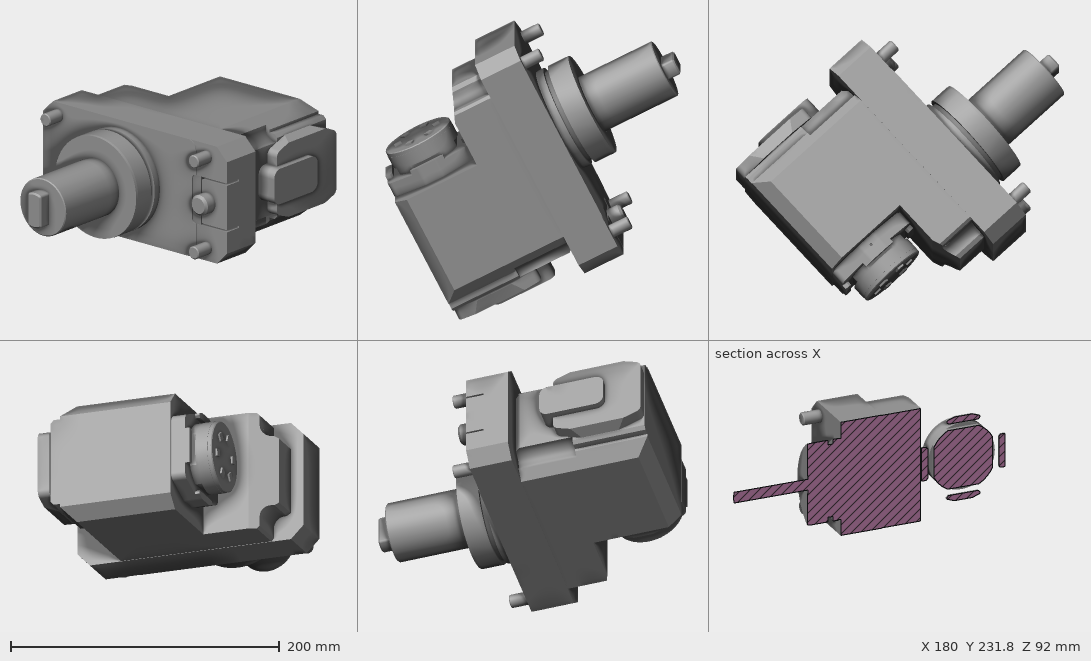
import cadquery as cq
import math


LENGTH = 231.8
HEIGHT = 92.0
PLATE_WIDTH = 180.0
PAD_WIDTH = 150.0
PLATE_LEFT = -PAD_WIDTH / 2
PLATE_RIGHT = PLATE_LEFT + PLATE_WIDTH
PLATE_BACK = 33.0
CORNER = 10.0
FACE_STEP = 0.5
PAD_CORNER_RADIUS = 7.6

BOLT_DIAMETER = 10.0
BOLT_XS = (-60.0, 85.3)
BOLT_Z = 36.0
BOLT_LENGTH = 14.8
BOLT_CHAMFER = 0.7
BOLT_CLEARANCE_RADIUS = 8.5

COLLAR_DIAMETER = 80.0
COLLAR_END_DIAMETER = 79.5
COLLAR_LENGTH = 27.1
COLLAR_TAPER_LENGTH = 2.0
COLLAR_ROOT_LENGTH = 1.5
GROOVE_DIAMETER = 73.7
GROOVE_START = 6.3
GROOVE_END = 10.2
SHAFT_DIAMETER = 45.0
SHAFT_END = 87.6
SHAFT_CHAMFER = 0.7
RELIEF_DIAMETER = 46.4
RELIEF_DEPTH = 0.5
TANG_END = 97.8
TANG_WIDTH = 12.7
TANG_HEIGHT = 27.5
TANG_CORNER_RADIUS = 2.0
TANG_CHAMFER = 1.2

POCKET_LEFT = 71.5
POCKET_HEIGHT = 38.2
POCKET_RADIUS = 3.0
POCKET_DEPTH = 1.0
INSERT_SEAT_LEFT = 79.0
INSERT_SEAT_DEPTH = 14.0
INSERT_LEFT = 80.5
INSERT_HEIGHT = 35.0
INSERT_RADIUS = 1.5
NOZZLE_X = 85.8
NOZZLE_DIAMETER = 16.0
NOZZLE_LENGTH = 10.0
NOZZLE_CHAMFER = 1.9

HOUSING_DROP = 0.2
HOUSING_HALF = HEIGHT / 2 - HOUSING_DROP
BACK = LENGTH - TANG_END
HEAD_LEFT = -7.6
HEAD_RIGHT = 87.9
HEAD_EDGE_CHAMFER = 10.0
LEDGE_LEFT = 80.5
LEDGE_DROP = 2.3
LEDGE_EDGE_CHAMFER = 2.5
HEAD_FOOT_CHAMFER = 3.7
BOLT_CUT_END = 78.0
SHOULDER_LEFT = -65.0
SHOULDER_BACK = 65.4
SHOULDER_TOP_LEFT = -49.4
SHOULDER_CHAMFER = 2.0
SHOULDER_NOSE = 3.2
SHOULDER_SLOPE_START = -43.8
SHOULDER_SLOPE_END_BACK = 57.3
SPOT_DIAMETER = 6.3
SPOT_Y = 58.0
SPOT_Z = 36.5

FLANGE_HALF = 34.0
SPINDLE_Y = BACK - FLANGE_HALF
FLANGE_FLAT = 14.5
FLANGE_SLOPE = 20
FLANGE_RADIUS = 5.3
FLANGE_CREST_RADIUS = 6.0
FLANGE_GAP = 1.0
FLANGE_GAP_INSET = 1.2
LEFT_FLANGE_X = -19.5
RIGHT_FLANGE_X = 98.0
RIGHT_FLANGE_ROOT_Z = 31.5
RIGHT_FLANGE_RIM_Z = 29.2

TAB_X = -23.0
TAB_LENGTH = 27.4
TAB_DEPTH = 5.3
TAB_TAPER = 1.6

OIL_HOLE_DIAMETER = 2.1
OIL_HOLE_X = -13.7
OIL_HOLE_DEPTH = 2.3

NUT_FLATS = 47.8
NUT_DIAMETER = 54.0
NUT_BACK_X = -24.5
NUT_FACE_X = -37.8
NUT_LIP_DIAMETER = 53.5
NUT_LIP_LENGTH = 3.5
NUT_CHAMFER = 0.7
KEY_COUNT = 6
KEY_RADIUS = 16.0
KEY_SIZE = 5.5
KEY_HEIGHT = 1.5
KEY_START_ANGLE = 8

COVER_X = 103.2
COVER_FRONT = 56.8
COVER_BACK = 106.5
COVER_HEIGHT = 27.8
COVER_RADIUS = 6.7


def block(x0, x1, y0, y1, z0, z1):
    """Box between two opposite corners."""
    return cq.Workplane("XY").box(x1 - x0, y1 - y0, z1 - z0, centered=False).translate((x0, y0, z0))


def disc_y(diameter, y0, y1, x=0, z=0):
    """Cylinder along Y from y0 back to y1."""
    plane = cq.Plane(origin=(x, y0, z), xDir=(1, 0, 0), normal=(0, 1, 0))
    return cq.Workplane(plane).circle(diameter / 2).extrude(y1 - y0)


def disc_x(diameter, x0, x1):
    """Cylinder along X on the spindle axis."""
    return spindle_plane(x0).circle(diameter / 2).extrude(x1 - x0)


def spindle_plane(x):
    """Plane across the spindle axis: local x is +Y, local y is +Z, extruding toward +X."""
    return cq.Workplane(cq.Plane(origin=(x, SPINDLE_Y, 0), xDir=(0, 1, 0), normal=(1, 0, 0)))


def mounting_plate():
    """Plate with cut corners and a locating pad standing out of its front face."""
    half = HEIGHT / 2
    plate = block(PLATE_LEFT, PLATE_RIGHT, FACE_STEP, PLATE_BACK, -half, half)
    pad = block(PLATE_LEFT, -PLATE_LEFT, 0, PLATE_BACK, -half, half)
    pad = pad.edges("|Y and >X").fillet(PAD_CORNER_RADIUS)
    outline = block(PLATE_LEFT, PLATE_RIGHT, 0, PLATE_BACK, -half, half).edges("|Y").chamfer(CORNER)
    return plate.union(pad).intersect(outline)


def add_connector(body):
    """Pocket open to the right edge, holding an insert with a round nozzle."""
    pocket = block(POCKET_LEFT, PLATE_RIGHT, 0, POCKET_DEPTH, -POCKET_HEIGHT / 2, POCKET_HEIGHT / 2)
    pocket = pocket.edges("|Y and <X").fillet(POCKET_RADIUS)
    seat = block(
        INSERT_SEAT_LEFT, PLATE_RIGHT, 0, INSERT_SEAT_DEPTH, -POCKET_HEIGHT / 2, POCKET_HEIGHT / 2
    )
    insert = block(
        INSERT_LEFT, PLATE_RIGHT, FACE_STEP, INSERT_SEAT_DEPTH, -INSERT_HEIGHT / 2, INSERT_HEIGHT / 2
    )
    insert = insert.edges("|Y and <X").fillet(INSERT_RADIUS)
    nozzle = disc_y(NOZZLE_DIAMETER, -NOZZLE_LENGTH, INSERT_SEAT_DEPTH, NOZZLE_X)
    nozzle = nozzle.faces("<Y").chamfer(NOZZLE_CHAMFER)
    return body.cut(pocket).cut(seat).union(insert).union(nozzle)


def bolts():
    """Bolt ends standing out of the plate near its corners."""
    bolt_set = cq.Workplane("XY")
    for x in BOLT_XS:
        for z in (-BOLT_Z, BOLT_Z):
            bolt = disc_y(BOLT_DIAMETER, -BOLT_LENGTH, PLATE_BACK, x, z)
            bolt_set = bolt_set.union(bolt.faces("<Y").chamfer(BOLT_CHAMFER))
    return bolt_set


def shaft():
    """Collar with a ring groove, plain shaft and driving tang."""
    collar_r = COLLAR_DIAMETER / 2
    end_r = COLLAR_END_DIAMETER / 2
    groove_r = GROOVE_DIAMETER / 2
    shaft_r = SHAFT_DIAMETER / 2
    relief_r = RELIEF_DIAMETER / 2
    profile = [
        (0, 0),
        (end_r, 0),
        (end_r, -COLLAR_ROOT_LENGTH),
        (collar_r, -COLLAR_ROOT_LENGTH),
        (collar_r, -GROOVE_START),
        (groove_r, -GROOVE_START),
        (groove_r, -GROOVE_END),
        (collar_r, -GROOVE_END),
        (collar_r, -COLLAR_LENGTH + COLLAR_TAPER_LENGTH),
        (end_r, -COLLAR_LENGTH),
        (relief_r, -COLLAR_LENGTH),
        (relief_r, -COLLAR_LENGTH + RELIEF_DEPTH),
        (shaft_r, -COLLAR_LENGTH + RELIEF_DEPTH),
        (shaft_r, -SHAFT_END + SHAFT_CHAMFER),
        (shaft_r - SHAFT_CHAMFER, -SHAFT_END),
        (0, -SHAFT_END),
    ]
    turned = cq.Workplane("XY").polyline(profile).close().revolve(360, (0, 0, 0), (0, 1, 0))
    tang = block(
        -TANG_WIDTH / 2, TANG_WIDTH / 2, -TANG_END, -SHAFT_END, -TANG_HEIGHT / 2, TANG_HEIGHT / 2
    )
    tang = tang.intersect(disc_y(TANG_HEIGHT, -TANG_END, -SHAFT_END))
    tang = tang.edges("|Y").fillet(TANG_CORNER_RADIUS).faces("<Y").chamfer(TANG_CHAMFER)
    return turned.union(tang)


def head():
    """Tall part of the housing with chamfered back and stepped right edges."""
    half = HOUSING_HALF
    edge_z = half - HEAD_EDGE_CHAMFER
    ledge_z = edge_z - LEDGE_DROP
    ledge_x = HEAD_RIGHT - LEDGE_EDGE_CHAMFER
    right_side = [
        (HEAD_LEFT, half),
        (LEDGE_LEFT - HEAD_EDGE_CHAMFER, half),
        (LEDGE_LEFT, edge_z),
        (LEDGE_LEFT, ledge_z),
        (ledge_x, ledge_z),
        (HEAD_RIGHT, ledge_z - LEDGE_EDGE_CHAMFER),
    ]
    mirrored = [(x, -z) for x, z in reversed(right_side)]
    body = cq.Workplane("XZ").polyline(right_side + mirrored).close().extrude(-BACK)
    body = body.intersect(block(HEAD_LEFT, HEAD_RIGHT, PLATE_BACK, BACK, -half, half))
    body = body.edges("|Z and >X and <Y").chamfer(HEAD_FOOT_CHAMFER)
    side = block(HEAD_LEFT, HEAD_RIGHT, 0, BACK, -half, half)
    body = body.intersect(side.edges("|X and >Y").chamfer(HEAD_EDGE_CHAMFER))
    for z in (-BOLT_Z, BOLT_Z):
        body = body.cut(disc_y(2 * BOLT_CLEARANCE_RADIUS, PLATE_BACK, BOLT_CUT_END, BOLT_XS[1], z))
    return body


def shoulder():
    """Low part of the housing, scalloped round the left bolts and sloped at its back.

    A round spot face runs into the upper scallop.
    """
    half = HOUSING_HALF
    bolt_x = BOLT_XS[0]
    wall_x = bolt_x + BOLT_CLEARANCE_RADIUS
    nose_z = BOLT_Z - BOLT_CLEARANCE_RADIUS
    bend = BOLT_CLEARANCE_RADIUS * math.sqrt(0.5)
    outline = (
        cq.Workplane("XZ")
        .moveTo(0, half)
        .lineTo(SHOULDER_TOP_LEFT, half)
        .lineTo(wall_x, half - SHOULDER_CHAMFER)
        .lineTo(wall_x, BOLT_Z)
        .threePointArc((bolt_x + bend, BOLT_Z - bend), (bolt_x, nose_z))
        .lineTo(SHOULDER_LEFT + SHOULDER_NOSE, nose_z)
        .lineTo(SHOULDER_LEFT, nose_z - SHOULDER_CHAMFER)
        .lineTo(SHOULDER_LEFT, 0)
        .lineTo(0, 0)
        .close()
        .extrude(-SHOULDER_BACK)
    )
    plan = [
        (0, PLATE_BACK),
        (0, SHOULDER_BACK),
        (SHOULDER_SLOPE_START, SHOULDER_BACK),
        (SHOULDER_LEFT, SHOULDER_SLOPE_END_BACK),
        (SHOULDER_LEFT, PLATE_BACK),
    ]
    footprint = cq.Workplane("XY").polyline(plan).close().extrude(half, both=True)
    spot = cq.Workplane("YZ", origin=(wall_x, 0, 0)).center(SPOT_Y, SPOT_Z)
    spot = spot.circle(SPOT_DIAMETER / 2).extrude(SHOULDER_LEFT - wall_x)
    return outline.union(outline.mirror("XY")).intersect(footprint).cut(spot)


def flange(x0, x1, inset=0):
    """Square flange whose top and bottom fall away on both sides of a central flat."""
    reach = FLANGE_HALF - inset
    flat = FLANGE_FLAT / 2
    low = reach - (reach - flat) * math.tan(math.radians(FLANGE_SLOPE))
    top = [(-reach, low), (-flat, reach), (flat, reach), (reach, low)]
    bottom = [(y, -z) for y, z in reversed(top)]
    body = spindle_plane(x0).polyline(top + bottom).close().extrude(x1 - x0)
    body = body.edges("|X and (<Y or >Y)").fillet(FLANGE_RADIUS)
    return body.faces("<Z or >Z").edges("|X").fillet(FLANGE_CREST_RADIUS)


def left_flange():
    """Flange that carries the spindle nut, set off from the head by a narrow gap."""
    gap_start = HEAD_LEFT - FLANGE_GAP
    body = flange(LEFT_FLANGE_X, gap_start)
    body = body.union(flange(gap_start, HEAD_LEFT, FLANGE_GAP_INSET))
    body = body.union(flange_tabs())
    hole = cq.Workplane("XY").center(OIL_HOLE_X, SPINDLE_Y).circle(OIL_HOLE_DIAMETER / 2)
    hole = hole.extrude(OIL_HOLE_DEPTH).translate((0, 0, FLANGE_HALF - OIL_HOLE_DEPTH))
    return body.cut(hole)


def flange_tabs():
    """Four tabs standing on the rim of the left flange."""
    half = TAB_LENGTH / 2
    inner = FLANGE_HALF - TAB_DEPTH
    tabs = cq.Workplane("XY")
    for quarter in range(4):
        tab = block(TAB_X, LEFT_FLANGE_X, SPINDLE_Y - half, SPINDLE_Y + half, inner, FLANGE_HALF)
        tab = tab.edges("|X and <Z").chamfer(TAB_TAPER)
        tab = tab.rotate((0, SPINDLE_Y, 0), (1, SPINDLE_Y, 0), 90 * quarter)
        tabs = tabs.union(tab)
    return tabs.intersect(flange(TAB_X, LEFT_FLANGE_X))


def right_flange():
    """Flange with tapered top and bottom, joined to the head by a neck and a cover."""
    gap_end = HEAD_RIGHT + FLANGE_GAP
    body = flange(gap_end, RIGHT_FLANGE_X)
    taper = [
        (gap_end, RIGHT_FLANGE_ROOT_Z),
        (RIGHT_FLANGE_X, RIGHT_FLANGE_RIM_Z),
        (RIGHT_FLANGE_X, -RIGHT_FLANGE_RIM_Z),
        (gap_end, -RIGHT_FLANGE_ROOT_Z),
    ]
    body = body.intersect(cq.Workplane("XZ").polyline(taper).close().extrude(-BACK))
    neck = disc_x(2 * RIGHT_FLANGE_RIM_Z, HEAD_RIGHT, gap_end)
    cover = block(HEAD_RIGHT, COVER_X, COVER_FRONT, COVER_BACK, -COVER_HEIGHT / 2, COVER_HEIGHT / 2)
    return body.union(neck).union(cover.edges("|X").fillet(COVER_RADIUS))


def spindle_nut():
    """Round nut with wrench flats at its back and small square keys on its face."""
    lip_end = NUT_FACE_X + NUT_LIP_LENGTH
    lip = disc_x(NUT_LIP_DIAMETER, NUT_FACE_X, lip_end).faces("<X").chamfer(NUT_CHAMFER)
    nut = disc_x(NUT_DIAMETER, lip_end, NUT_BACK_X)
    square = spindle_plane(NUT_BACK_X).rect(NUT_FLATS, NUT_FLATS)
    square = square.extrude(LEFT_FLANGE_X - NUT_BACK_X)
    neck = disc_x(NUT_DIAMETER, NUT_BACK_X, LEFT_FLANGE_X).intersect(square)
    keys = (
        spindle_plane(NUT_FACE_X)
        .transformed(rotate=(0, 0, -KEY_START_ANGLE))
        .polarArray(KEY_RADIUS, 0, 360, KEY_COUNT)
        .rect(KEY_SIZE, KEY_SIZE)
        .extrude(-KEY_HEIGHT)
    )
    return lip.union(nut).union(neck).union(keys)


result = add_connector(mounting_plate())
for piece in (bolts(), shaft(), head(), shoulder(), left_flange(), right_flange(), spindle_nut()):
    result = result.union(piece)